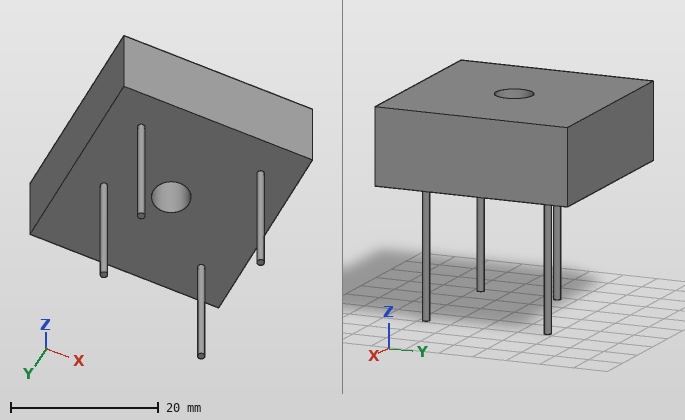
import cadquery as cq

body_side = 28.55
total_height = 30.5
body_height = 11.1
hole_diameter = 5.35
pin_diameter = 1.0
pin_offset = 9.03
offset_pin_y = 2.32

pin_length = total_height - body_height
pin_positions = [
    (-pin_offset, -pin_offset),
    (pin_offset, -pin_offset),
    (pin_offset, pin_offset),
    (-pin_offset, offset_pin_y),
]

body = (
    cq.Workplane("XY")
    .box(body_side, body_side, body_height, centered=(True, True, False))
    .faces(">Z")
    .workplane()
    .hole(hole_diameter)
)

pins = (
    cq.Workplane("XY")
    .pushPoints(pin_positions)
    .circle(pin_diameter / 2)
    .extrude(-pin_length)
)

result = body.union(pins)